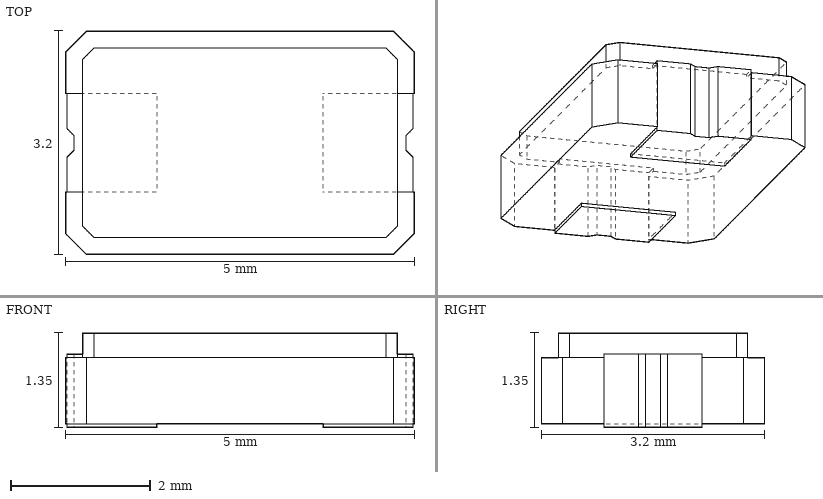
import cadquery as cq

BODY_LENGTH = 5.0
BODY_WIDTH = 3.2
TOTAL_HEIGHT = 1.35

BODY_TOP = 1.0
BODY_CHAMFER = 0.3

LID_SETBACK = 0.245
LID_LENGTH = BODY_LENGTH - 2 * LID_SETBACK
LID_WIDTH = BODY_WIDTH - 2 * LID_SETBACK
LID_CHAMFER = 0.16

PLATING = 0.05
TERMINAL_WIDTH = 1.41
TERMINAL_RECESS = 0.02
TERMINAL_END = BODY_LENGTH / 2 - TERMINAL_RECESS
TERMINAL_LENGTH = 1.29
TERMINAL_TOP = BODY_TOP + PLATING

NOTCH_DEPTH = 0.1
NOTCH_FLOOR_WIDTH = 0.21
NOTCH_MOUTH_WIDTH = NOTCH_FLOOR_WIDTH + 2 * NOTCH_DEPTH


def chamfered_block(length, width, bottom, top, chamfer):
    """Block centred on the Z axis with its four vertical edges chamfered."""
    block = cq.Workplane("XY").workplane(offset=bottom).rect(length, width).extrude(top - bottom)
    return block.edges("|Z").chamfer(chamfer)


def end_recess():
    """Full-height clearance in the -X end of the body, as wide as the terminal."""
    return (
        cq.Workplane("XY")
        .center(-BODY_LENGTH / 2, 0)
        .rect(2 * TERMINAL_RECESS, TERMINAL_WIDTH)
        .extrude(TOTAL_HEIGHT)
    )


def terminal_layer(length, bottom, top):
    """Flat terminal layer running inward from the -X terminal face."""
    return (
        cq.Workplane("XY")
        .workplane(offset=bottom)
        .center(-TERMINAL_END + length / 2, 0)
        .rect(length, TERMINAL_WIDTH)
        .extrude(top - bottom)
    )


def end_notch():
    """Trapezoidal notch running the full height of the -X terminal face."""
    floor_x = -TERMINAL_END + NOTCH_DEPTH
    return (
        cq.Workplane("XY")
        .moveTo(floor_x, -NOTCH_FLOOR_WIDTH / 2)
        .lineTo(floor_x, NOTCH_FLOOR_WIDTH / 2)
        .lineTo(-TERMINAL_END, NOTCH_MOUTH_WIDTH / 2)
        .lineTo(-TERMINAL_END, -NOTCH_MOUTH_WIDTH / 2)
        .close()
        .extrude(TOTAL_HEIGHT)
    )


body = chamfered_block(BODY_LENGTH, BODY_WIDTH, PLATING, BODY_TOP, BODY_CHAMFER)
lid = chamfered_block(LID_LENGTH, LID_WIDTH, BODY_TOP, TOTAL_HEIGHT, LID_CHAMFER)
top_layer = terminal_layer(LID_SETBACK - TERMINAL_RECESS, BODY_TOP, TERMINAL_TOP)
bottom_layer = terminal_layer(TERMINAL_LENGTH, 0, PLATING)

result = body.union(lid)
for turn in (0, 180):
    result = result.cut(end_recess().rotate((0, 0, 0), (0, 0, 1), turn))
    for layer in (top_layer, bottom_layer):
        result = result.union(layer.rotate((0, 0, 0), (0, 0, 1), turn))
    result = result.cut(end_notch().rotate((0, 0, 0), (0, 0, 1), turn))
result = result.clean()